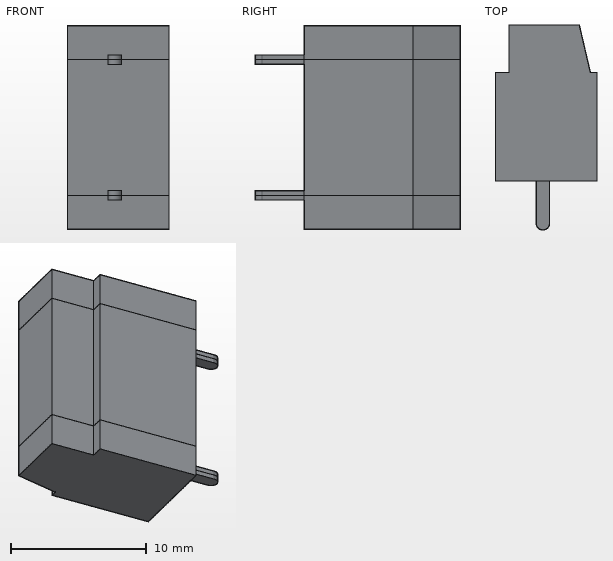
import cadquery as cq


HOUSING_WIDTH = 7.5
HOUSING_HEIGHT = 15.0
BASE_DEPTH = 8.02
HEAD_DEPTH = 3.49
HEAD_LEFT = 1.0
HEAD_RIGHT_AT_BASE = 7.0
HEAD_RIGHT_AT_END = 6.19
HOUSING_DEPTH = BASE_DEPTH + HEAD_DEPTH

PIN_PITCH = 10.0
PIN_LEFT = 3.0
PIN_WIDTH = 1.0
PIN_THICKNESS = 0.7
PIN_LENGTH = 3.6
PIN_RIGHT = PIN_LEFT + PIN_WIDTH
PIN_TIP_RADIUS = PIN_WIDTH / 2
PIN_SHANK = PIN_LENGTH - PIN_TIP_RADIUS

PIN_LEVEL = PIN_PITCH / 2
END_LEVEL = HOUSING_HEIGHT / 2


def housing_slice(bottom, top):
    """Housing profile, a base with a narrower head sloping on one side, between two levels."""
    return (
        cq.Workplane("XY", origin=(0, 0, bottom))
        .polyline([
            (0, 0),
            (HOUSING_WIDTH, 0),
            (HOUSING_WIDTH, BASE_DEPTH),
            (HEAD_RIGHT_AT_BASE, BASE_DEPTH),
            (HEAD_RIGHT_AT_END, HOUSING_DEPTH),
            (HEAD_LEFT, HOUSING_DEPTH),
            (HEAD_LEFT, BASE_DEPTH),
            (0, BASE_DEPTH),
        ])
        .close()
        .extrude(top - bottom)
    )


def half_pin(level, direction):
    """Half the thickness of a round-ended flat pin, going up (+1) or down (-1) from its mid-plane."""
    return (
        cq.Workplane("XY", origin=(0, 0, level))
        .moveTo(PIN_LEFT, 0)
        .lineTo(PIN_LEFT, -PIN_SHANK)
        .threePointArc((PIN_LEFT + PIN_TIP_RADIUS, -PIN_LENGTH), (PIN_RIGHT, -PIN_SHANK))
        .lineTo(PIN_RIGHT, 0)
        .close()
        .extrude(direction * PIN_THICKNESS / 2)
    )


def end_segment(side):
    """Outer segment at the top (+1) or bottom (-1), with the outer half of the nearest pin."""
    bottom, top = sorted((side * PIN_LEVEL, side * END_LEVEL))
    return housing_slice(bottom, top).union(half_pin(side * PIN_LEVEL, side))


def middle_segment():
    """Segment between the two pin mid-planes, with the inner half of each pin."""
    segment = housing_slice(-PIN_LEVEL, PIN_LEVEL)
    for side in (-1, 1):
        segment = segment.union(half_pin(side * PIN_LEVEL, -side))
    return segment


middle = middle_segment()
ends = [end_segment(side) for side in (-1, 1)]

result = cq.Compound.makeCompound([middle.val(), *[end.val() for end in ends]])